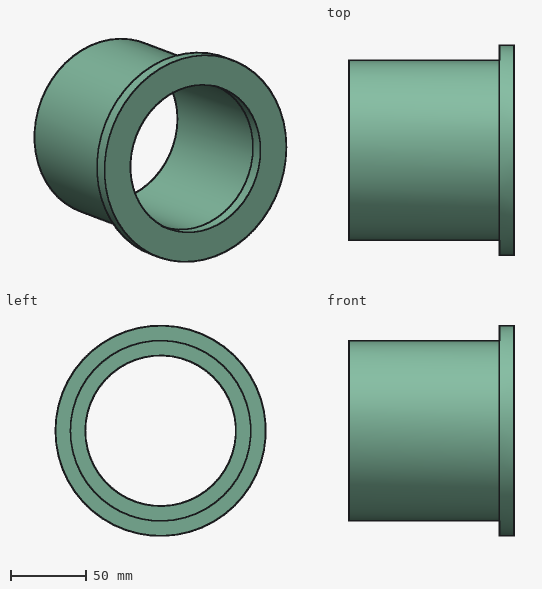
import cadquery as cq

flange_diameter = 140.0
bore_diameter = 100.0
tube_diameter = 120.0
flange_thickness = 10.0
overall_length = 110.0
tube_length = overall_length - flange_thickness


def make_ring(start_x, length, outer_diameter):
    """Ring along +X with the common bore running through it."""
    return (
        cq.Workplane("YZ", origin=(start_x, 0, 0))
        .circle(outer_diameter / 2)
        .circle(bore_diameter / 2)
        .extrude(length)
    )


tube = make_ring(0, tube_length, tube_diameter)

flange = make_ring(tube_length, flange_thickness, flange_diameter)

result = cq.Compound.makeCompound([tube.val(), flange.val()])